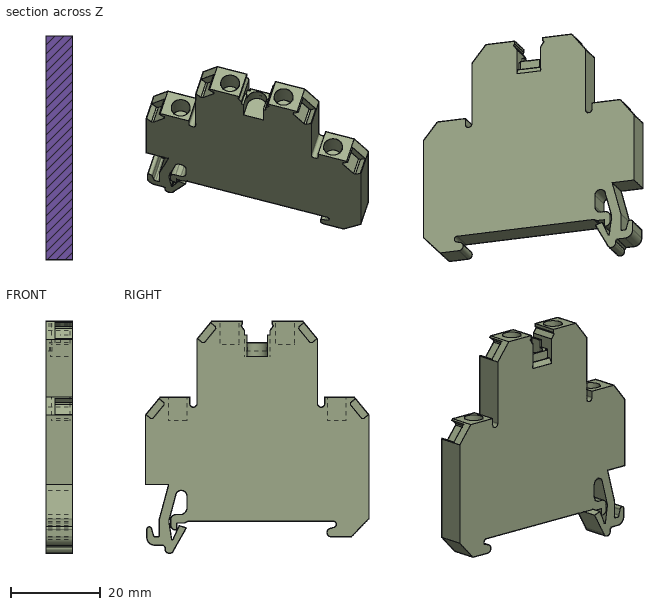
import cadquery as cq
import math


thickness = 6.0
half_width = 25.0
tower_half_width = 13.5
height = 51.85
shoulder_z = 34.9
corner_run = 3.3
corner_drop = 4.05

groove_width = 1.55
groove_bottom_z = 32.65
groove_radius = groove_width / 2

foot_z = 3.7
foot_bevel_run = 4.0
foot_bevel_rise = 4.15
rail_z = 7.15
hook_end_y = 16.55
hook_radius = 1.0
hook_mouth_y = 16.95
hook_mouth_height = 1.35

shelf_z = 15.35
clip_root_y = -19.8
arm_outer_y = -21.9
arm_outer_bend_z = 7.65
arm_inner_y = -19.65
arm_inner_bend_z = 7.45
lever_valley_z = 3.75
valley_radius = 0.3
valley_end_y = -22.75
lever_root_y = -23.2
lever_root_z = 4.15
lever_tip_z = 5.95
lever_tip_radius = 0.55
lever_outer_y = -24.7
lever_bottom_z = 1.8
lever_corner_radius = 1.8
nose_y = -19.6
nose_side_y = -20.6
nose_side_z = 0.8
nose_bevel = 0.4
finger_tip_y = -15.8
finger_tip_z = 5.7
finger_width_y = 1.6
finger_width_z = 0.5
finger_root_y = -18.85
finger_root_z = 3.05
finger_gap = 0.2

slot_wall_y = -15.7
slot_top_z = 14.05
slot_bottom_z = 8.7
slot_end_radius = 1.2
slot_corner_height = 1.5
slot_arm_y = -18.1
slot_arm_z = 13.3
lip_start_y = -15.45
lip_step_y = -16.25
lip_z = 6.8
lip_inner_y = -17.95
lip_outer_y = -19.35
lip_bend_y = -18.1
lip_bend_z = 7.4
lip_side_z = 6.3
lip_tip_y = -18.35
lip_tip_z = 5.25

hole_diameter = 4.2
hole_x = 3.3
hole_depth = 5.2
tower_hole_y = 6.2
shoulder_hole_y = 17.75

recess_start_x = 2.05
recess_upper_margin = 0.4
recess_lower_margin = 0.2
recess_depth = 1.75
recess_bevel = 0.3
recess_clearance = 0.5

mouth_half_width = 3.3
mouth_edge_z = 51.2
catch_half_width = 3.6
catch_z = 50.8
pocket_half_width = 2.8
pocket_top_z = 49.7
sill_z = 44.0
sill_run = 0.6
block_front_x = 0.8
ledge_z = 45.15
block_top_z = 47.1
block_notch = 0.55
cheek_top_z = 48.8
cradle_radius = 2.3
cradle_floor_z = sill_z


def make_plate():
    """Side outline of the whole block, walked from the +Y foot and extruded along X."""
    groove_outer_y = tower_half_width + groove_width
    groove_mid_y = tower_half_width + groove_radius
    groove_side_z = groove_bottom_z + groove_radius
    finger_corner_y = finger_tip_y - finger_width_y
    finger_corner_z = finger_tip_z + finger_width_z
    nose_inner_y = 2 * nose_y - nose_side_y
    lever_tip_y = lever_outer_y + lever_tip_radius
    lever_tip_side_z = lever_tip_z - lever_tip_radius
    lever_curve_y = lever_outer_y + lever_corner_radius
    lever_curve_z = lever_bottom_z + lever_corner_radius
    slot_end_y = slot_wall_y - slot_end_radius
    slot_end_z = slot_top_z - slot_end_radius

    outline = cq.Workplane("YZ").moveTo(half_width - foot_bevel_run, foot_z)

    outline = (
        outline.lineTo(half_width, foot_z + foot_bevel_rise)
        .lineTo(half_width, shoulder_z - corner_drop)
        .lineTo(half_width - corner_run, shoulder_z)
        .lineTo(groove_outer_y, shoulder_z)
        .lineTo(groove_outer_y, groove_side_z)
        .threePointArc((groove_mid_y, groove_bottom_z), (tower_half_width, groove_side_z))
    )
    outline = (
        outline.lineTo(tower_half_width, height - corner_drop)
        .lineTo(tower_half_width - corner_run, height)
        .lineTo(corner_run - tower_half_width, height)
        .lineTo(-tower_half_width, height - corner_drop)
        .lineTo(-tower_half_width, groove_side_z)
        .threePointArc((-groove_mid_y, groove_bottom_z), (-groove_outer_y, groove_side_z))
        .lineTo(-groove_outer_y, shoulder_z)
        .lineTo(corner_run - half_width, shoulder_z)
        .lineTo(-half_width, shoulder_z - corner_drop)
        .lineTo(-half_width, shelf_z)
        .lineTo(clip_root_y, shelf_z)
    )
    outline = (
        outline.lineTo(arm_outer_y, arm_outer_bend_z)
        .lineTo(arm_outer_y, lever_valley_z + valley_radius)
        .tangentArcPoint((arm_outer_y - valley_radius, lever_valley_z), relative=False)
        .lineTo(valley_end_y, lever_valley_z)
        .tangentArcPoint((lever_root_y, lever_root_z), relative=False)
        .lineTo(lever_tip_y + lever_tip_radius, lever_tip_side_z)
        .threePointArc((lever_tip_y, lever_tip_z), (lever_outer_y, lever_tip_side_z))
        .lineTo(lever_outer_y, lever_curve_z)
        .tangentArcPoint((lever_curve_y, lever_bottom_z), relative=False)
        .lineTo(nose_side_y - nose_bevel, lever_bottom_z)
        .lineTo(nose_side_y, lever_bottom_z - nose_bevel)
        .lineTo(nose_side_y, nose_side_z)
        .threePointArc((nose_y, 0), (nose_inner_y, nose_side_z))
    )
    outline = (
        outline.lineTo(finger_tip_y, finger_tip_z)
        .lineTo(finger_corner_y, finger_corner_z)
        .lineTo(finger_root_y, finger_root_z)
        .lineTo(finger_root_y - finger_gap, finger_root_z)
        .lineTo(arm_inner_y, lip_z)
        .lineTo(arm_inner_y, arm_inner_bend_z)
    )
    outline = (
        outline.lineTo(slot_arm_y, slot_arm_z)
        .threePointArc((slot_end_y, slot_top_z), (slot_wall_y, slot_end_z))
        .lineTo(slot_wall_y, slot_bottom_z + slot_corner_height)
        .tangentArcPoint((slot_end_y, slot_bottom_z), relative=False)
        .lineTo(lip_bend_y, slot_bottom_z)
        .tangentArcPoint((lip_outer_y, lip_bend_z), relative=False)
        .lineTo(lip_outer_y, lip_side_z)
        .tangentArcPoint((lip_tip_y, lip_tip_z), relative=False)
        .lineTo(lip_inner_y, lip_tip_z)
        .lineTo(lip_inner_y, lip_z)
        .lineTo(lip_step_y, lip_z)
        .lineTo(lip_start_y, rail_z)
    )
    mouth_radius = hook_mouth_height / 2
    hook_mid_z = foot_z + hook_radius
    outline = (
        outline.lineTo(hook_mouth_y, rail_z)
        .threePointArc(
            (hook_mouth_y + mouth_radius, rail_z - mouth_radius),
            (hook_mouth_y, rail_z - hook_mouth_height),
        )
        .lineTo(hook_end_y, hook_mid_z + hook_radius)
        .threePointArc((hook_end_y - hook_radius, hook_mid_z), (hook_end_y, foot_z))
        .close()
    )
    return outline.extrude(thickness)


def make_marker_recess(corner_y, corner_z):
    """Cutter for the +Y bevel whose upper edge is at (corner_y, corner_z)."""
    length = math.hypot(corner_run, corner_drop)

    def on_bevel(along, depth):
        y = corner_y + (along * corner_run - depth * corner_drop) / length
        z = corner_z - (along * corner_drop + depth * corner_run) / length
        return y, z

    first = recess_upper_margin
    last = length - recess_lower_margin
    above = -recess_clearance
    wall_depth = recess_depth - recess_bevel
    profile = [
        on_bevel(first, above),
        on_bevel(first, wall_depth),
        on_bevel(first + recess_bevel, recess_depth),
        on_bevel(last - recess_bevel, recess_depth),
        on_bevel(last, wall_depth),
        on_bevel(last, above),
    ]
    cutter = cq.Workplane("YZ").workplane(offset=recess_start_x).polyline(profile).close()
    return cutter.extrude(thickness - recess_start_x)


def make_wire_hole(y, top_z):
    hole = cq.Workplane("XY", origin=(hole_x, y, top_z))
    return hole.circle(hole_diameter / 2).extrude(-hole_depth)


def make_pocket():
    """Snap-in pocket right through the tower along X, open at the top."""
    right_side = [
        (pocket_half_width, sill_z),
        (pocket_half_width, pocket_top_z),
        (catch_half_width, catch_z),
        (mouth_half_width, mouth_edge_z),
        (mouth_half_width, height),
    ]
    left_side = [(-y, z) for y, z in reversed(right_side)]
    return cq.Workplane("YZ").polyline(right_side + left_side).close().extrude(thickness)


def make_pocket_block():
    """Raised block in the pocket: sloping sill, notched front corners, cheeks and round cradle."""
    profile = [
        (0, sill_z),
        (sill_run, ledge_z),
        (block_front_x, ledge_z),
        (block_front_x, block_top_z),
        (thickness, block_top_z),
        (thickness, sill_z),
    ]
    width = 2 * pocket_half_width
    block = cq.Workplane("XZ").polyline(profile).close().extrude(pocket_half_width, both=True)

    cheeks = cq.Workplane("XY", origin=(hole_x, 0, block_top_z)).box(
        thickness - hole_x, width, cheek_top_z - block_top_z, centered=(False, True, False)
    )
    block = block.union(cheeks)

    cradle_height = cheek_top_z - cradle_floor_z
    cradle = cq.Workplane("XY", origin=(hole_x, 0, cradle_floor_z)).circle(cradle_radius)
    cradle = cradle.extrude(cradle_height)
    channel = cq.Workplane("XY", origin=(hole_x, 0, cradle_floor_z)).box(
        thickness - hole_x, 2 * cradle_radius, cradle_height, centered=(False, True, False)
    )
    block = block.cut(cradle.union(channel))

    notches = (
        cq.Workplane("XY", origin=(block_front_x, 0, ledge_z))
        .pushPoints([(0, -pocket_half_width), (0, pocket_half_width)])
        .rect(2 * block_notch, 2 * block_notch)
        .extrude(block_top_z - ledge_z)
    )
    return block.cut(notches)


result = make_plate()
result = result.cut(make_pocket()).union(make_pocket_block())

levels = [
    (tower_half_width, height, tower_hole_y),
    (half_width, shoulder_z, shoulder_hole_y),
]
for level_half_width, top_z, hole_y in levels:
    recess = make_marker_recess(level_half_width - corner_run, top_z)
    result = result.cut(recess).cut(recess.mirror("XZ"))
    for y in (hole_y, -hole_y):
        result = result.cut(make_wire_hole(y, top_z))